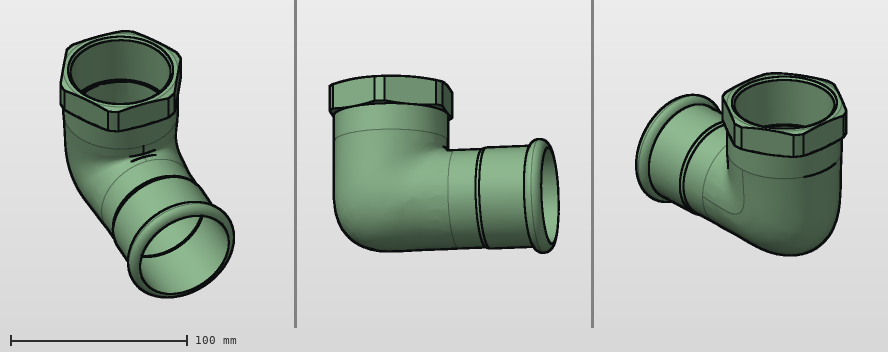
import cadquery as cq
import math


hex_sides = 6
across_flats = 65.0
across_corners = 72.0
hex_top = 66.0
hex_height = 16.0
hex_chamfer_angle = 15.0
collar_radius = across_flats / 2
collar_bottom = 35.0
thread_radius = 56.7 / 2
thread_mouth_radius = 29.8
thread_mouth_depth = thread_mouth_radius - thread_radius
thread_bottom = 35.6

pipe_radius = 56.0 / 2
pipe_start = 37.9
step_start = 53.7
step_length = 2.2
socket_start = step_start + step_length
socket_radius = 57.5 / 2
socket_bore_radius = 54.7 / 2
bead_radius = 64.7 / 2
bead_section_radius = 5.0
bead_center = 86.5
socket_end = bead_center + bead_section_radius

crotch_radius = 1.6
heel_radius = 28.5
elbow_bore_top_radius = 54.0 / 2
elbow_bore_end_radius = 53.0 / 2
bore_heel_radius = heel_radius - (collar_radius - elbow_bore_top_radius)
fan_steps = 8
end_width_share = 0.1

pivot_x = collar_radius + crotch_radius
pivot_z = pipe_radius + crotch_radius


def heel_reach(angle, top_radius, end_radius, corner_radius):
    """Distance from the pivot to the heel outline, along a ray turned down from -X by angle.

    The outline is a wall at x = -top_radius and a floor at z = -end_radius, joined by an arc.
    """
    ray_x, ray_z = math.cos(angle), math.sin(angle)
    wall, floor = pivot_x + top_radius, pivot_z + end_radius
    arc_x, arc_z = wall - corner_radius, floor - corner_radius
    if wall * ray_z <= arc_z * ray_x:
        return wall / ray_x
    if floor * ray_x <= arc_x * ray_z:
        return floor / ray_z
    along = arc_x * ray_x + arc_z * ray_z
    across = arc_x * ray_z - arc_z * ray_x
    return along + math.sqrt(corner_radius**2 - across**2)


def circle_wire(center, normal, radius):
    """A circle whose start point lies on the +Y side."""
    plane = cq.Plane(origin=center, xDir=(0, 1, 0), normal=normal)
    return cq.Workplane(plane).circle(radius).wire().val()


def elbow(top_radius, end_radius, corner_radius):
    """Loft from a circle at the collar, round the bend, to a circle at the pipe."""
    top_gap = pivot_x - top_radius
    end_gap = pivot_z - end_radius
    wires = [circle_wire((0, 0, collar_bottom), (0, 0, -1), top_radius)]
    for step in range(fan_steps + 1):
        turn = step / fan_steps
        angle = turn * math.pi / 2
        ray_x, ray_z = math.cos(angle), math.sin(angle)
        near = top_gap + (end_gap - top_gap) * turn
        far = heel_reach(angle, top_radius, end_radius, corner_radius)
        middle = (near + far) / 2
        width_share = end_width_share + (1 - 2 * end_width_share) * turn
        half_width = top_radius + (end_radius - top_radius) * width_share
        plane = cq.Plane(
            origin=(pivot_x - middle * ray_x, 0, pivot_z - middle * ray_z),
            xDir=(0, 1, 0),
            normal=(ray_z, 0, -ray_x),
        )
        wires.append(cq.Workplane(plane).ellipse(half_width, (far - near) / 2).wire().val())
    wires.append(circle_wire((pipe_start, 0, 0), (1, 0, 0), end_radius))
    return cq.Workplane(obj=cq.Solid.makeLoft(wires))


def cylinder_z(radius, bottom, top):
    return cq.Workplane("XY", origin=(0, 0, bottom)).circle(radius).extrude(top - bottom)


def cylinder_x(radius, start, end):
    return cq.Workplane("YZ", origin=(start, 0, 0)).circle(radius).extrude(end - start)


def hex_nut():
    """Hexagon with corners along Y, rounded to the corner circle and coned at both ends."""
    bottom = hex_top - hex_height
    corner_radius = across_corners / 2
    drop = (corner_radius - collar_radius) * math.tan(math.radians(hex_chamfer_angle))
    hexagon = (
        cq.Workplane("XY", origin=(0, 0, bottom))
        .polygon(hex_sides, across_flats, circumscribed=True)
        .extrude(hex_height)
    )
    turned_blank = (
        cq.Workplane("XZ")
        .moveTo(0, bottom)
        .lineTo(collar_radius, bottom)
        .lineTo(corner_radius, bottom + drop)
        .lineTo(corner_radius, hex_top - drop)
        .lineTo(collar_radius, hex_top)
        .lineTo(0, hex_top)
        .close()
        .revolve(360, (0, 0, 0), (0, 1, 0))
    )
    return hexagon.intersect(turned_blank)


def press_socket():
    """Pipe, conical step, sleeve and rounded end bead, turned about X."""
    ring_radius = bead_radius - bead_section_radius
    bead_start = bead_center - math.sqrt(bead_section_radius**2 - (socket_radius - ring_radius) ** 2)
    diagonal = bead_section_radius * math.sqrt(0.5)
    return (
        cq.Workplane("XZ")
        .moveTo(pipe_start, 0)
        .lineTo(pipe_start, pipe_radius)
        .lineTo(step_start, pipe_radius)
        .lineTo(socket_start, socket_radius)
        .lineTo(bead_start, socket_radius)
        .threePointArc((bead_center - diagonal, ring_radius + diagonal), (bead_center, bead_radius))
        .threePointArc((bead_center + diagonal, ring_radius + diagonal), (socket_end, ring_radius))
        .lineTo(socket_end, 0)
        .close()
        .revolve(360, (0, 0, 0), (1, 0, 0))
    )


def thread_bore():
    """Threaded hole with a 45 degree mouth, and the narrower hole below it."""
    return (
        cq.Workplane("XZ")
        .moveTo(0, collar_bottom)
        .lineTo(elbow_bore_top_radius, collar_bottom)
        .lineTo(elbow_bore_top_radius, thread_bottom)
        .lineTo(thread_radius, thread_bottom)
        .lineTo(thread_radius, hex_top - thread_mouth_depth)
        .lineTo(thread_mouth_radius, hex_top)
        .lineTo(0, hex_top)
        .close()
        .revolve(360, (0, 0, 0), (0, 1, 0))
    )


body = (
    elbow(collar_radius, pipe_radius, heel_radius)
    .union(cylinder_z(collar_radius, collar_bottom, hex_top - hex_height))
    .union(hex_nut())
    .union(press_socket())
)
result = (
    body.cut(elbow(elbow_bore_top_radius, elbow_bore_end_radius, bore_heel_radius))
    .cut(thread_bore())
    .cut(cylinder_x(elbow_bore_end_radius, pipe_start, socket_start))
    .cut(cylinder_x(socket_bore_radius, socket_start, socket_end))
)